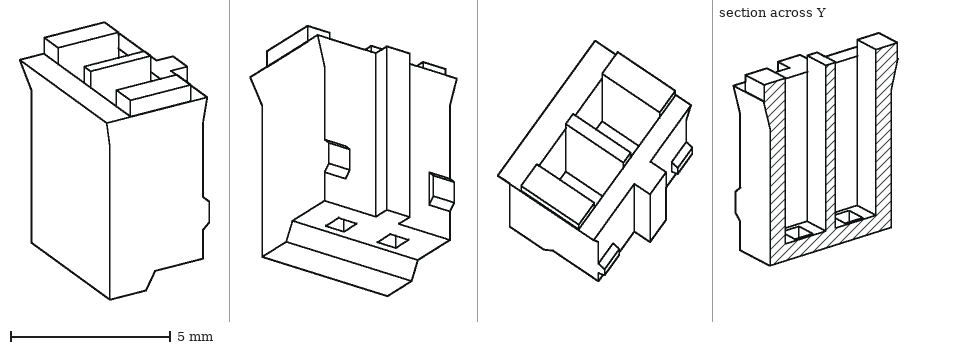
import cadquery as cq

body_width = 4.83
body_depth = 3.4
total_height = 6.9
rim_height = 6.335
flare_start = 5.305
rim_width = 5.36
front_flare = 0.275

step_height = 0.6
foot_depth = 1.32
foot_slope_run = 0.34

divider_width = 0.4
cavity_width = 1.595
cavity_depth = 2.21
back_wall = 0.585
floor_thickness = 0.6
cavity_floor = step_height + floor_thickness
cavity_center = (divider_width + cavity_width) / 2
cavity_outer = divider_width / 2 + cavity_width

hole_size = 0.705
hole_back_offset = 0.745

tab_outer = 2.655
tab_width = tab_outer - cavity_outer

rail_width = 0.88
rail_depth = 0.6
latch_width = 0.81
latch_center = (body_width - latch_width) / 2
latch_depth = 0.235
latch_bottom = 1.6
latch_top = 2.745
latch_slope_rise = 0.215


def block(width, depth, bottom, top, center_x, back_y):
    """Box centred on center_x, reaching forward from back_y."""
    return (
        cq.Workplane("XY")
        .box(width, depth, top - bottom, centered=(True, False, False))
        .translate((center_x, back_y - depth, bottom))
    )


def make_shell():
    """Cross the side outline with the front outline to flare three sides."""
    front = -body_depth
    foot_back = front + foot_depth
    side_outline = [
        (0, step_height),
        (foot_back + foot_slope_run, step_height),
        (foot_back, 0),
        (front, 0),
        (front, flare_start),
        (front - front_flare, rim_height),
        (0, rim_height),
    ]
    front_outline = [
        (-body_width / 2, 0),
        (body_width / 2, 0),
        (body_width / 2, flare_start),
        (rim_width / 2, rim_height),
        (-rim_width / 2, rim_height),
        (-body_width / 2, flare_start),
    ]
    side = cq.Workplane("YZ").polyline(side_outline).close().extrude(rim_width / 2, both=True)
    across = cq.Workplane("XZ").polyline(front_outline).close().extrude(body_depth + front_flare)
    return side.intersect(across)


def make_latch(center_x):
    """Small back bump with sloped upper and lower ends."""
    outline = [
        (0, latch_bottom),
        (latch_depth, latch_bottom + latch_slope_rise),
        (latch_depth, latch_top - latch_slope_rise),
        (0, latch_top),
    ]
    latch = cq.Workplane("YZ").polyline(outline).close().extrude(latch_width / 2, both=True)
    return latch.translate((center_x, 0, 0))


result = make_shell()

for side in (-1, 1):
    center_x = side * cavity_center
    result = result.cut(
        block(cavity_width, cavity_depth, cavity_floor, rim_height, center_x, -back_wall)
    )
    result = result.cut(block(hole_size, hole_size, 0, cavity_floor, center_x, -hole_back_offset))

result = result.union(
    block(divider_width, cavity_depth, cavity_floor, total_height, 0, -back_wall)
)
result = result.union(block(rail_width, rail_depth, step_height, rim_height, 0, rail_depth))

for side in (-1, 1):
    tab_center = side * (tab_outer - tab_width / 2)
    result = result.union(
        block(tab_width, cavity_depth, rim_height, total_height, tab_center, -back_wall)
    )
    result = result.union(make_latch(side * latch_center))